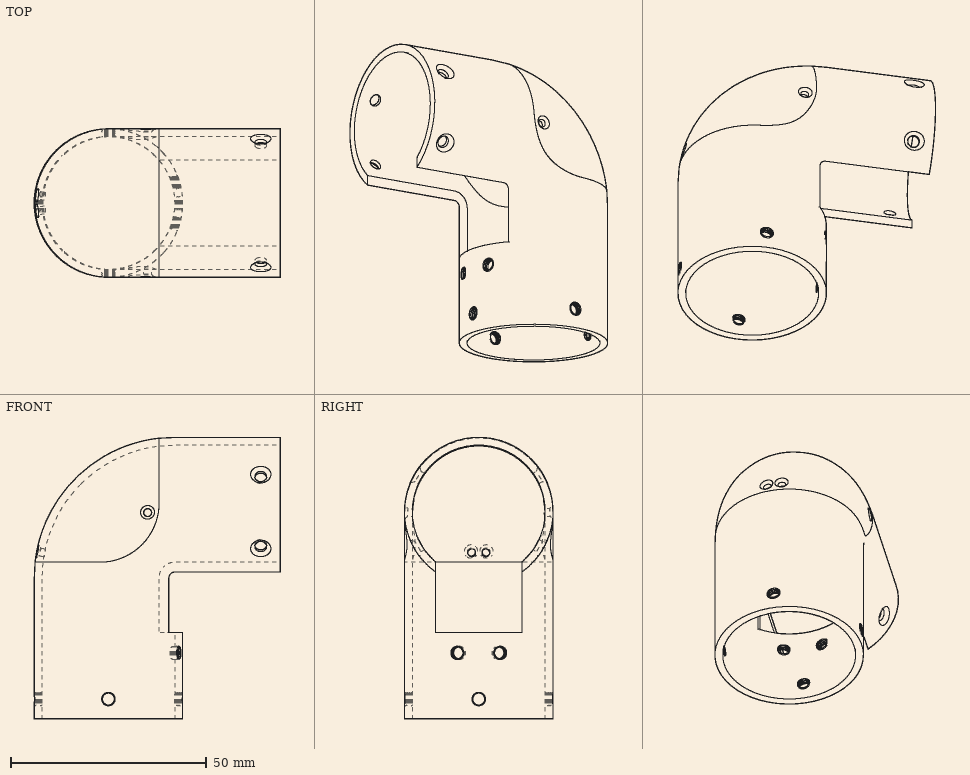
import cadquery as cq
import math


OVERALL_HEIGHT = 72.0
OVERALL_LENGTH = 63.0
TUBE_DIAMETER = 38.0
WALL = 2.0
BEND_OUTER_RADIUS = 36.0
SLOT_WIDTH = 22.0
COLLAR_HEIGHT = 22.1
COVER_OFFSET = 12.95
COVER_CORNER_RADIUS = 15.1

COVER_SCREW_BORE = 2.0
COVER_SCREW_HEAD = 3.6
BACK_SCREW_BEND_ANGLE = 10.9
BACK_SCREW_SIDE_ANGLE = 6.0
SIDE_SCREW_BEND_ANGLE = 67.4
SIDE_SCREW_SIDE_ANGLE = 86.4
END_SCREW_BORE = 3.0
END_SCREW_HEAD = 5.2
END_SCREW_ANGLES = (30, 150, 210, 330)
THREAD_BORE = 3.0
THREAD_DEPTH = 0.2
THREAD_PITCH = 0.5
SET_SCREW_HEIGHT = 16.85
SET_SCREW_ANGLES = (-17, 17)
CLAMP_SCREW_ANGLES = (0, 90, 180, 270)
END_HOLE_INSET = 5.05

OUTER_RADIUS = TUBE_DIAMETER / 2
BORE_RADIUS = OUTER_RADIUS - WALL
BEND_RADIUS = BEND_OUTER_RADIUS - OUTER_RADIUS
TUBE_BOTTOM = OUTER_RADIUS - OVERALL_HEIGHT
TUBE_END = OVERALL_LENGTH - OUTER_RADIUS
COLLAR_TOP = TUBE_BOTTOM + COLLAR_HEIGHT

UP = cq.Vector(0, 0, 1)
ALONG = cq.Vector(1, 0, 0)
SIDEWAYS = cq.Vector(0, 1, 0)


def ring(plane):
    """Full tube section on the given plane."""
    return cq.Workplane(plane).circle(OUTER_RADIUS).circle(BORE_RADIUS)


def slotted_tube(plane, length):
    """Tube along the plane's normal, slotted on the plane's +X side."""
    slot = (
        cq.Workplane(plane)
        .center(OUTER_RADIUS / 2, 0)
        .rect(OUTER_RADIUS, SLOT_WIDTH)
        .extrude(length)
    )
    return ring(plane).extrude(length).cut(slot)


def slotted_bend():
    """Quarter bend whose section matches the slotted tubes."""
    plane = cq.Plane(origin=(0, 0, -BEND_RADIUS), xDir=(1, 0, 0), normal=(0, 0, 1))
    half_slot = SLOT_WIDTH / 2
    outer_lip = math.sqrt(OUTER_RADIUS**2 - half_slot**2)
    inner_lip = math.sqrt(BORE_RADIUS**2 - half_slot**2)
    section = (
        cq.Workplane(plane)
        .moveTo(outer_lip, half_slot)
        .threePointArc((-OUTER_RADIUS, 0), (outer_lip, -half_slot))
        .lineTo(inner_lip, -half_slot)
        .threePointArc((-BORE_RADIUS, 0), (inner_lip, half_slot))
        .close()
    )
    return section.revolve(90, (BEND_RADIUS, 0), (BEND_RADIUS, 1))


def elbow_shell():
    """Both tubes and the bend, before the holes and the cover split."""
    upright_plane = cq.Plane(origin=(0, 0, COLLAR_TOP), xDir=(1, 0, 0), normal=(0, 0, 1))
    level_plane = cq.Plane(origin=(BEND_RADIUS, 0, 0), xDir=(0, 0, -1), normal=(1, 0, 0))
    collar_plane = cq.Plane(origin=(0, 0, TUBE_BOTTOM), xDir=(1, 0, 0), normal=(0, 0, 1))
    collar = ring(collar_plane).extrude(COLLAR_HEIGHT)
    upright = slotted_tube(upright_plane, -BEND_RADIUS - COLLAR_TOP)
    level = slotted_tube(level_plane, TUBE_END - BEND_RADIUS)
    return collar.union(upright).union(slotted_bend()).union(level)


def countersunk_cutter(axis_point, outward, bore, head):
    """Screw hole through one wall, with a 90 degree countersink at the outer surface.

    The hole runs along `outward` from `axis_point`, a point on the tube's centre line.
    """
    drill_start = axis_point + outward * (OUTER_RADIUS - 2 * WALL)
    sink_depth = (head - bore) / 2
    sink_start = axis_point + outward * (OUTER_RADIUS - sink_depth)
    sink_height = sink_depth + WALL
    drill = cq.Solid.makeCylinder(bore / 2, 3 * WALL, drill_start, outward)
    sink = cq.Solid.makeCone(bore / 2, bore / 2 + sink_height, sink_height, sink_start, outward)
    return cq.Workplane(drill.fuse(sink))


def blend(first, second, angle):
    """Unit direction turned by `angle` degrees from `first` towards `second`."""
    turn = math.radians(angle)
    return first * math.cos(turn) + second * math.sin(turn)


def bend_screw(bend_angle, side_angle):
    """Cover screw hole square to the surface of the bend."""
    radial = blend(-ALONG, UP, bend_angle)
    bend_centre = cq.Vector(BEND_RADIUS, 0, -BEND_RADIUS)
    outward = blend(radial, SIDEWAYS, side_angle)
    return countersunk_cutter(
        bend_centre + radial * BEND_RADIUS, outward, COVER_SCREW_BORE, COVER_SCREW_HEAD
    )


def end_screw(angle):
    """Screw hole near the open end of the level tube."""
    axis_point = cq.Vector(TUBE_END - END_HOLE_INSET, 0, 0)
    outward = blend(SIDEWAYS, UP, angle)
    return countersunk_cutter(axis_point, outward, END_SCREW_BORE, END_SCREW_HEAD)


def threaded_cutter(height, angle):
    """Threaded hole through the collar wall, with ring grooves standing for the thread."""
    axis_point = cq.Vector(0, 0, TUBE_BOTTOM + height)
    outward = blend(ALONG, SIDEWAYS, angle)
    plane = cq.Plane(origin=axis_point.toTuple(), xDir=(0, 0, 1), normal=UP.cross(outward).toTuple())
    bore_radius = THREAD_BORE / 2
    start = BORE_RADIUS - WALL
    turns = math.ceil((OUTER_RADIUS + WALL - start) / THREAD_PITCH)
    profile = cq.Workplane(plane).moveTo(0, start).lineTo(bore_radius, start)
    for turn in range(turns):
        groove_start = start + turn * THREAD_PITCH
        profile = profile.lineTo(bore_radius + THREAD_DEPTH, groove_start + THREAD_PITCH / 2)
        profile = profile.lineTo(bore_radius, groove_start + THREAD_PITCH)
    end = start + turns * THREAD_PITCH
    return profile.lineTo(0, end).close().revolve(360, (0, 0), (0, 1))


def drilled_shell():
    """Elbow shell with all its holes."""
    shell = elbow_shell()
    for side in (-1, 1):
        shell = shell.cut(bend_screw(BACK_SCREW_BEND_ANGLE, side * BACK_SCREW_SIDE_ANGLE))
        shell = shell.cut(bend_screw(SIDE_SCREW_BEND_ANGLE, side * SIDE_SCREW_SIDE_ANGLE))
    for angle in END_SCREW_ANGLES:
        shell = shell.cut(end_screw(angle))
    for angle in SET_SCREW_ANGLES:
        shell = shell.cut(threaded_cutter(SET_SCREW_HEIGHT, angle))
    for angle in CLAMP_SCREW_ANGLES:
        shell = shell.cut(threaded_cutter(END_HOLE_INSET, angle))
    return shell


def cover_region():
    """Block around the outside of the bend; its inner corner is rounded."""
    width = COVER_OFFSET + TUBE_DIAMETER
    return (
        cq.Workplane("XZ")
        .center(COVER_OFFSET - width / 2, width / 2 - COVER_OFFSET)
        .rect(width, width)
        .extrude(TUBE_DIAMETER, both=True)
        .edges("|Y and >X and <Z")
        .fillet(COVER_CORNER_RADIUS)
    )


shell = drilled_shell()
body = shell.cut(cover_region())
cover = shell.intersect(cover_region())

result = cq.Compound.makeCompound([body.solids().val(), cover.solids().val()])